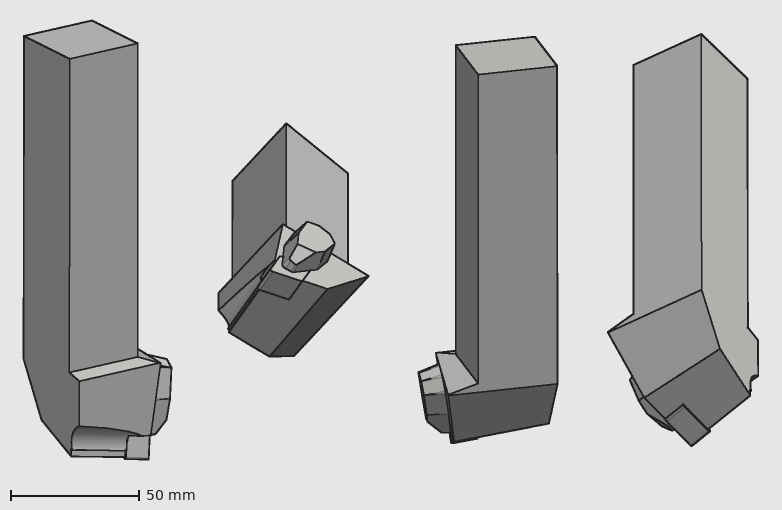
import cadquery as cq
import math

TOTAL_HEIGHT = 170.0
SHANK_SIDE = 32.0
FRONT_LEAN = 0.3
SHANK_DEPTH = SHANK_SIDE + FRONT_LEAN
SHANK_BOTTOM = 34.0
HEAD_WIDTH = 39.0
HEAD_STOCK_DEPTH = 51.0
HEAD_STOCK_TOP = 40.8
HALF_SPACE_SIZE = 340.0

SHOULDER_HEIGHT = 40.3
SHOULDER_FALL_BACK = 0.28
SHOULDER_FALL_SIDE = 0.22

LEFT_CORNER_Z = 36.5
HEEL = (12.5, 15.0)
NOSE = (33.5, 6.0)
NOSE_RELIEF_TOP = (33.2, 8.8)

RAKE_LEFT_Y = 44.4
RAKE_X_SLOPE = -0.164
RAKE_Z_SLOPE = 0.162
RAKE_NORMAL = cq.Vector(-RAKE_X_SLOPE, 1, -RAKE_Z_SLOPE)

GULLET_RADIUS = 9.0
GULLET_CENTER = (42.7, 11.7)

CLAMP_HEIGHT = 8.3
CLAMP_DRAFT = 11.0
CLAMP_TOP_OUTLINE = [
    (20.7, 29.0), (23.6, 33.8), (28.7, 35.4), (33.8, 33.5),
    (36.2, 21.8), (35.4, 8.0), (33.0, 8.0), (24.0, 19.4),
]
CLAMP_BEVEL_START = (27.7, 14.8)
CLAMP_BEVEL_SLOPE = 1.0

CORNER_RELIEF = [(40.5, -1.7), (36.7, 9.5), (51.0, 9.5), (51.0, -1.7)]

INSERT_CORNER = (40.3, -0.5)
INSERT_HEEL_POINT = (25.3, 5.6)
INSERT_EDGE = 15.6
INSERT_ANGLE = 55.0
INSERT_THICKNESS = 9.9
INSERT_NOSE_RADIUS = 0.9


def on_rake(x, z):
    """Point of the rake plane at the given X and Z."""
    y = RAKE_LEFT_Y + RAKE_X_SLOPE * x + RAKE_Z_SLOPE * (z - LEFT_CORNER_Z)
    return cq.Vector(x, y, z)


def half_space(point, outward):
    """Large block filling the side of a plane that outward points to."""
    plane = cq.Plane(origin=point, normal=outward)
    return cq.Workplane(plane).rect(HALF_SPACE_SIZE, HALF_SPACE_SIZE).extrude(HALF_SPACE_SIZE)


def sheared_prism(points, direction):
    """Solid swept in a straight line from a planar polygon."""
    wire = cq.Wire.makePolygon(points, close=True)
    return cq.Workplane(obj=cq.Solid.extrudeLinear(wire, [], direction))


def make_head():
    head = cq.Workplane().box(HEAD_WIDTH, HEAD_STOCK_DEPTH, HEAD_STOCK_TOP, centered=False)
    left_normal = (HEEL[1] - LEFT_CORNER_Z, 0, -HEEL[0])
    lower_edge = cq.Vector(NOSE[0] - HEEL[0], 0, NOSE[1] - HEEL[1])
    lower_normal = RAKE_NORMAL.cross(lower_edge)
    if lower_normal.z > 0:
        lower_normal = -lower_normal
    shoulder = (SHANK_SIDE, SHANK_DEPTH, SHOULDER_HEIGHT)
    faces = [
        ((0, 0, LEFT_CORNER_Z), left_normal),
        ((HEEL[0], 0, HEEL[1]), lower_normal),
        (on_rake(0, LEFT_CORNER_Z), RAKE_NORMAL),
        (shoulder, (0, SHOULDER_FALL_BACK, 1)),
        (shoulder, (SHOULDER_FALL_SIDE, 0, 1)),
    ]
    for point, outward in faces:
        head = head.cut(half_space(point, outward))
    return head


def make_shank():
    height = TOTAL_HEIGHT - SHANK_BOTTOM
    shank = cq.Workplane().box(SHANK_SIDE, SHANK_DEPTH, height, centered=False)
    shank = shank.translate((0, 0, SHANK_BOTTOM))
    return shank.cut(half_space((0, 0, LEFT_CORNER_Z), (HEEL[1] - LEFT_CORNER_Z, 0, -HEEL[0])))


def make_gullet():
    """Slanted bore and nose relief, both running along the rake normal."""
    axis_start = cq.Vector(GULLET_CENTER[0], 0, GULLET_CENTER[1])
    reach = HEAD_STOCK_DEPTH
    start = axis_start - RAKE_NORMAL * reach
    bore = cq.Solid.makeCylinder(GULLET_RADIUS, 3 * reach, start, RAKE_NORMAL)
    corners = [NOSE_RELIEF_TOP, NOSE, (NOSE[0], -reach), (2 * reach, -reach), (2 * reach, NOSE_RELIEF_TOP[1])]
    outline = [cq.Vector(x, 0, z) - RAKE_NORMAL * reach for x, z in corners]
    relief = sheared_prism(outline, RAKE_NORMAL * (3 * reach))
    return relief.union(cq.Workplane(obj=bore))


def make_corner_relief():
    outline = [on_rake(x, z) for x, z in CORNER_RELIEF]
    return sheared_prism(outline, -RAKE_NORMAL.normalized() * INSERT_THICKNESS)


def clamp_top(x, z):
    return on_rake(x, z) + cq.Vector(0, CLAMP_HEIGHT * RAKE_NORMAL.Length, 0)


def make_clamp():
    plane = cq.Plane(origin=clamp_top(0, 0), xDir=clamp_top(1.7, 0) - clamp_top(0, 0), normal=RAKE_NORMAL)
    outline = [plane.toLocalCoords(clamp_top(x, z)) for x, z in CLAMP_TOP_OUTLINE]
    flat_outline = [(point.x, point.y) for point in outline]
    clamp = cq.Workplane(plane).polyline(flat_outline).close().extrude(-CLAMP_HEIGHT, taper=-CLAMP_DRAFT)
    bevel = half_space(clamp_top(*CLAMP_BEVEL_START), (0, 1, -CLAMP_BEVEL_SLOPE))
    return clamp.cut(bevel)


def make_insert():
    corner = on_rake(*INSERT_CORNER)
    plane = cq.Plane(origin=corner, xDir=on_rake(*INSERT_HEEL_POINT) - corner, normal=RAKE_NORMAL)
    rise_x = INSERT_EDGE * math.cos(math.radians(INSERT_ANGLE))
    rise_y = INSERT_EDGE * math.sin(math.radians(INSERT_ANGLE))
    far_corners = [(INSERT_EDGE, 0), (INSERT_EDGE + rise_x, rise_y), (rise_x, rise_y)]
    insert = cq.Workplane(plane).polyline([(0, 0)] + far_corners).close().extrude(-INSERT_THICKNESS)
    return insert.edges(cq.selectors.ParallelDirSelector(RAKE_NORMAL)).fillet(INSERT_NOSE_RADIUS)


insert = make_insert()
head = make_head().cut(make_gullet()).cut(make_corner_relief())
front_waste = half_space((0, 0, 0), (0, -TOTAL_HEIGHT, FRONT_LEAN))
holder = head.union(make_shank()).cut(front_waste).union(make_clamp()).cut(insert)
result = cq.Compound.makeCompound([holder.solids().val(), insert.solids().val()])